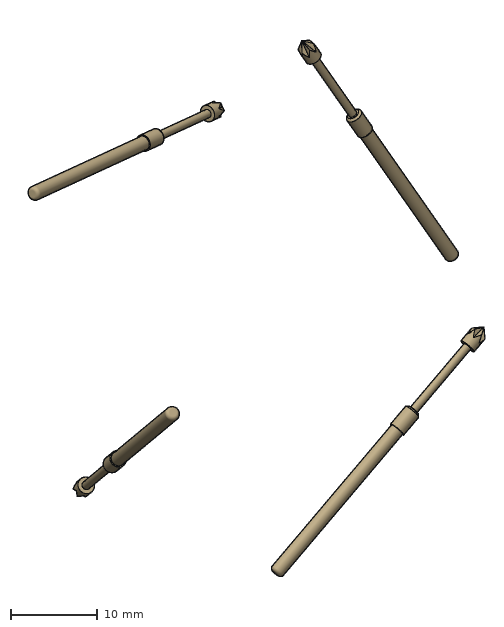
import cadquery as cq
import math

total_length = 37.8
tip_y = total_length / 2
tail_y = -total_length / 2

head_diameter = 2.0
head_length = 3.0
ridge_count = 6
valley_depth = 1.93
stem_diameter = 1.02

collar_diameter = head_diameter
collar_length = 3.0
collar_front = 12.78
collar_chamfer = 0.25
barrel_diameter = 1.7
tail_radius = 0.4

head_back_y = tip_y - head_length
collar_front_y = tip_y - collar_front
collar_back_y = collar_front_y - collar_length


def rod(diameter, start_y, end_y):
    """Round bar along Y between two positions, start_y below end_y."""
    axis_plane = cq.Workplane("XZ", origin=(0, start_y, 0))
    return axis_plane.circle(diameter / 2).extrude(start_y - end_y)


def star_pyramid():
    """Star-based pyramid with 45 degree ridges, its apex at the tip."""
    ridge_radius = head_length
    valley_radius = head_length * (head_diameter / 2) / valley_depth
    corner_count = 2 * ridge_count
    corners = []
    for index in range(corner_count):
        angle = 2 * math.pi * index / corner_count
        radius = ridge_radius if index % 2 == 0 else valley_radius
        corners.append(cq.Vector(radius * math.cos(angle), head_back_y, radius * math.sin(angle)))

    apex = cq.Vector(0, tip_y, 0)
    faces = [cq.Face.makeFromWires(cq.Wire.makePolygon(corners, close=True))]
    for index in range(corner_count):
        triangle = [corners[index - 1], corners[index], apex]
        faces.append(cq.Face.makeFromWires(cq.Wire.makePolygon(triangle, close=True)))
    return cq.Workplane(cq.Solid.makeSolid(cq.Shell.makeShell(faces)))


def make_head():
    return rod(head_diameter, head_back_y, tip_y).intersect(star_pyramid())


def make_collar():
    collar = rod(collar_diameter, collar_back_y, collar_front_y)
    return collar.faces(">Y").chamfer(collar_chamfer)


def make_barrel():
    barrel = rod(barrel_diameter, tail_y, collar_back_y)
    return barrel.faces("<Y").edges().fillet(tail_radius)


stem = rod(stem_diameter, collar_front_y, head_back_y)
result = make_barrel().union(make_collar()).union(stem).union(make_head())